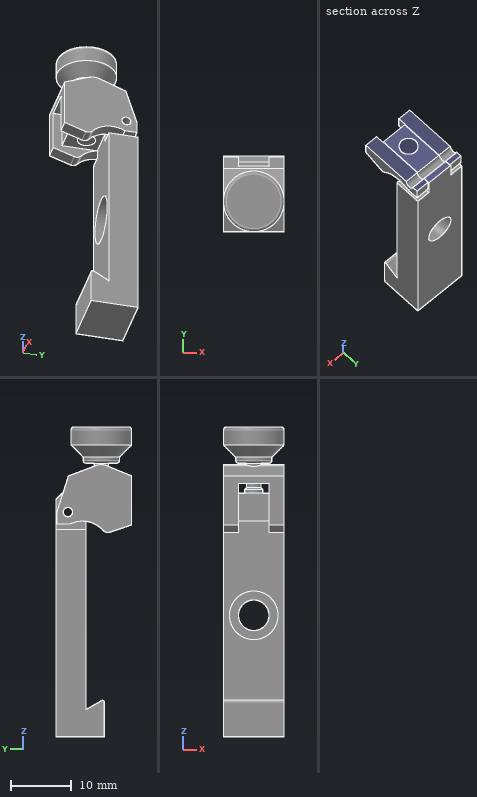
import cadquery as cq
import math

width = 10.0
tongue_width = 5.0

plate_thickness = 5.0
shoulder_height = 34.1
foot_length = 8.0
notch_height = 4.5
notch_angle = 30.0
lip_radius = 0.3
tongue_top = 40.1
tongue_chamfer = 1.0
head_bottom = 35.5
head_front = 11.0
mount_hole_height = 20.0
mount_hole_diameter = 5.0
counterbore_diameter = 8.0
counterbore_depth = 2.0

hinge_depth = 2.0
hinge_height = 37.0
hinge_diameter = 1.5

jaw_front = 12.5
jaw_back = 0.18
jaw_bottom = 35.0
jaw_corner_height = 42.97
jaw_back_corner_depth = 2.07
ridge_height = 45.0
ridge_radius = 2.6
hook_front_height = 34.87
hook_tip_depth = 8.3
hook_tip_height = 33.45
hook_tip_radius = 1.0
recess_start_depth = 2.25
recess_top_depth = 4.15
recess_end_depth = 7.72
recess_end_height = 34.05
slot_top = 41.7

knob_diameter = 10.0
knob_bottom = 45.03
knob_collar_diameter = 6.0
knob_collar_height = 1.0
knob_rim_height = 3.0
knob_fillet = 0.5
neck_diameter = 2.4
thread_diameter = 3.0
thread_top = 41.03
screw_depth = jaw_front - knob_diameter / 2

knob_cone_height = (knob_diameter - knob_collar_diameter) / 2
knob_rim_bottom = knob_bottom + knob_collar_height + knob_cone_height
knob_top = knob_rim_bottom + knob_rim_height


def side_extrude(sketch, thickness):
    """Extrude a closed side outline by a thickness centred on X = 0."""
    return sketch.extrude(thickness / 2, both=True)


def side_outline(depth, height):
    """Start a side outline at a depth in front of the back face and a height."""
    return cq.Workplane("YZ").moveTo(-depth, height)


def cylinder_along_z(diameter, bottom, top):
    """Cylinder on the screw axis."""
    return (
        cq.Workplane("XY", origin=(0, -screw_depth, bottom))
        .circle(diameter / 2)
        .extrude(top - bottom)
    )


def hinge_bore():
    outline = side_outline(hinge_depth, hinge_height).circle(hinge_diameter / 2)
    return side_extrude(outline, width)


def mounting_hole():
    """Stepped hole through the plate, with the counterbore in its front face."""
    front_plane = cq.Workplane("XZ", origin=(0, -plate_thickness, mount_hole_height))
    through = front_plane.circle(mount_hole_diameter / 2).extrude(-plate_thickness)
    counterbore = front_plane.circle(counterbore_diameter / 2).extrude(-counterbore_depth)
    return through.union(counterbore)


def make_base():
    lip_height = notch_height + (foot_length - plate_thickness) * math.tan(math.radians(notch_angle))
    plate_outline = (
        side_outline(0, 0)
        .lineTo(-foot_length, 0)
        .lineTo(-foot_length, lip_height)
        .lineTo(-plate_thickness, notch_height)
        .lineTo(-plate_thickness, shoulder_height)
        .lineTo(0, shoulder_height)
        .close()
    )
    lip_edge = cq.selectors.NearestToPointSelector((0, -foot_length, lip_height))
    plate = side_extrude(plate_outline, width).edges(lip_edge).fillet(lip_radius)

    tongue_outline = (
        side_outline(0, shoulder_height)
        .lineTo(-plate_thickness, shoulder_height)
        .lineTo(-plate_thickness, head_bottom)
        .lineTo(-head_front, head_bottom)
        .lineTo(-head_front, tongue_top)
        .lineTo(-tongue_chamfer, tongue_top)
        .lineTo(0, tongue_top - tongue_chamfer)
        .close()
    )
    tongue = side_extrude(tongue_outline, tongue_width)
    screw_hole = cylinder_along_z(thread_diameter, head_bottom, tongue_top)
    return plate.union(tongue).cut(hinge_bore()).cut(mounting_hole()).cut(screw_hole)


def make_jaw():
    outline = (
        side_outline(jaw_back, jaw_bottom)
        .lineTo(-recess_start_depth, jaw_bottom)
        .threePointArc((-recess_top_depth, head_bottom), (-recess_end_depth, recess_end_height))
        .lineTo(-hook_tip_depth, hook_tip_height)
        .lineTo(-jaw_front, hook_front_height)
        .lineTo(-jaw_front, jaw_corner_height)
        .lineTo(-screw_depth, ridge_height)
        .lineTo(-jaw_back_corner_depth, jaw_corner_height)
        .lineTo(-jaw_back, hinge_height)
        .close()
    )
    ridge_edge = cq.selectors.NearestToPointSelector((0, -screw_depth, ridge_height))
    hook_edge = cq.selectors.NearestToPointSelector((0, -hook_tip_depth, hook_tip_height))
    jaw = side_extrude(outline, width)
    jaw = jaw.edges(ridge_edge).fillet(ridge_radius)
    jaw = jaw.edges(hook_edge).fillet(hook_tip_radius)

    slot_outline = cq.Workplane("YZ").polyline(
        [(0, 0), (-jaw_front, 0), (-jaw_front, slot_top), (0, slot_top)]
    ).close()
    slot = side_extrude(slot_outline, tongue_width)
    neck_hole = cylinder_along_z(neck_diameter, slot_top, ridge_height)
    return jaw.cut(slot).cut(hinge_bore()).cut(neck_hole)


def make_thumb_screw():
    knob_radius = knob_diameter / 2
    collar_radius = knob_collar_diameter / 2
    collar_top = knob_bottom + knob_collar_height
    knob = (
        cq.Workplane("XZ", origin=(0, -screw_depth, 0))
        .moveTo(0, knob_bottom)
        .lineTo(collar_radius, knob_bottom)
        .lineTo(collar_radius, collar_top)
        .lineTo(knob_radius, knob_rim_bottom)
        .lineTo(knob_radius, knob_top)
        .lineTo(0, knob_top)
        .close()
        .revolve(360, (0, 0, 0), (0, 1, 0))
        .faces("<Z or >Z")
        .edges()
        .fillet(knob_fillet)
    )
    thread_chamfer = (thread_diameter - neck_diameter) / 2
    neck = cylinder_along_z(neck_diameter, head_bottom, knob_bottom)
    thread = cylinder_along_z(thread_diameter, head_bottom, thread_top)
    thread = thread.faces(">Z").chamfer(thread_chamfer)
    return knob.union(neck).union(thread)


base = make_base()
jaw = make_jaw()
thumb_screw = make_thumb_screw()

result = cq.Compound.makeCompound([base.solids().val(), jaw.solids().val(), thumb_screw.solids().val()])